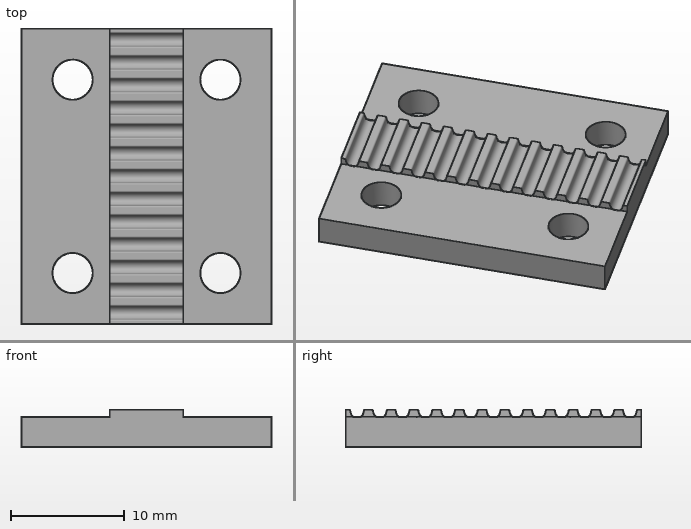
import cadquery as cq
import math

plate_width = 22.0
plate_length = 26.0
plate_thickness = 2.65
hole_diameter = 3.5
hole_spacing_x = 13.0
hole_spacing_y = 17.0

overall_height = 3.3
strip_width = 6.5
groove_count = 13
groove_pitch = plate_length / groove_count

groove_depth = 0.75
floor_radius = 0.55
flank_radius = 1.01
lip_radius = 0.15


def point_on_arc(center, toward, radius):
    """Point at the given radius from center, in the direction of another point."""
    distance = math.dist(center, toward)
    return tuple(c + (t - c) * radius / distance for c, t in zip(center, toward))


def arc_middle(center, start, end, radius):
    """Middle of the short arc between two points on a circle."""
    chord_middle = tuple((s + e) / 2 for s, e in zip(start, end))
    return point_on_arc(center, chord_middle, radius)


def mirrored(point):
    return (-point[0], point[1])


def groove_profile():
    """Closed outline of one groove, centred on Y = 0 with its rim at Z = 0."""
    floor_center = (0, floor_radius - groove_depth)
    flank_offset = math.sqrt((flank_radius - floor_radius) ** 2 - floor_center[1] ** 2)
    flank_center = (-flank_offset, 0)

    lip_reach = math.sqrt((flank_radius + lip_radius) ** 2 - lip_radius**2)
    lip_center = (lip_reach - flank_offset, -lip_radius)

    rim = (lip_center[0], 0)
    flank_top = point_on_arc(flank_center, lip_center, flank_radius)
    flank_bottom = point_on_arc(flank_center, floor_center, flank_radius)
    floor_bottom = (0, -groove_depth)
    lip_middle = arc_middle(lip_center, rim, flank_top, lip_radius)
    flank_middle = arc_middle(flank_center, flank_top, flank_bottom, flank_radius)

    return (
        cq.Workplane("YZ", origin=(-strip_width / 2, 0, 0))
        .moveTo(*rim)
        .threePointArc(lip_middle, flank_top)
        .threePointArc(flank_middle, flank_bottom)
        .threePointArc(floor_bottom, mirrored(flank_bottom))
        .threePointArc(mirrored(flank_middle), mirrored(flank_top))
        .threePointArc(mirrored(lip_middle), mirrored(rim))
        .close()
    )


def make_plate():
    return (
        cq.Workplane("XY")
        .box(plate_width, plate_length, plate_thickness, centered=(True, True, False))
        .faces(">Z")
        .workplane()
        .rect(hole_spacing_x, hole_spacing_y, forConstruction=True)
        .vertices()
        .hole(hole_diameter)
    )


def make_strip():
    return cq.Workplane("XY").box(
        strip_width, plate_length, overall_height, centered=(True, True, False)
    )


result = make_plate().union(make_strip())

groove = groove_profile().extrude(strip_width)
for index in range(groove_count):
    groove_y = (index - (groove_count - 1) / 2) * groove_pitch
    result = result.cut(groove.translate((0, groove_y, overall_height)))